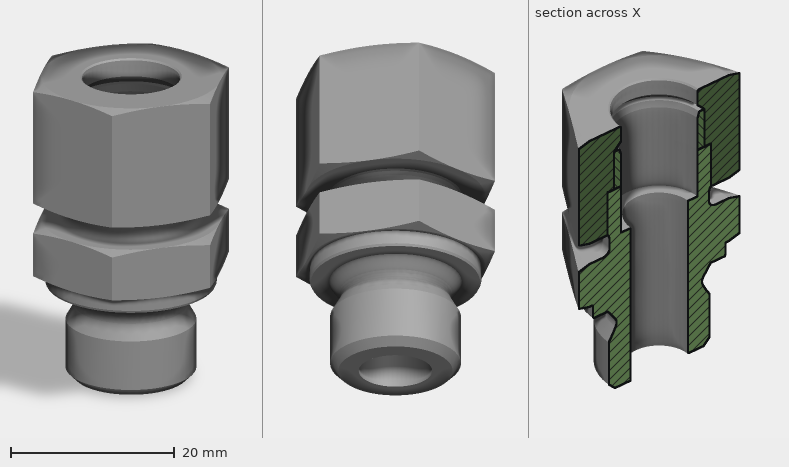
import cadquery as cq
import math

stud_top = 7.35
collar_bottom = 12.0
hex_bottom = 14.0
hex_top = 20.5
nut_bottom = 23.5
body_top = 30.0
ring_top = 35.65
cone_top = 36.7
nut_top = 39.0
tube_stop = 23.0

across_flats = 22.0
hex_corner_angle = 15.0
hex_half_angle = 30.0

stud_diameter = 16.0
stud_chamfer = 1.0
collar_diameter = 21.0
collar_chamfer_height = 0.3
collar_chamfer_width = 0.15
neck_diameter = 15.7
neck_fillet = 1.0
thread_diameter = 16.38
runout_diameter = 16.0
runout_bottom = 22.8
runout_top = 23.3

groove_lower_angle = 30.0
groove_upper_angle = 36.5
groove_mouth_diameter = 16.25
groove_fillet = 1.1

flow_diameter = 9.0
tube_diameter = 12.0
mouth_chamfer = 0.2

ring_diameter = 14.3
ring_chamfer_width = 0.25
ring_chamfer_height = 0.9
cone_bottom = cone_top - (ring_diameter - tube_diameter) / 2


def revolve_profile(points):
    """Revolve a closed (radius, height) outline about Z."""
    return cq.Workplane("XZ").polyline(points).close().revolve(360, (0, 0), (0, 1))


def cylinder(diameter, bottom, top):
    return cq.Workplane("XY").workplane(offset=bottom).circle(diameter / 2).extrude(top - bottom)


def chamfered_hexagon(bottom, top):
    """Hexagon with flats facing +X and -X and its corners turned down to the inscribed circle."""
    flat_radius = across_flats / 2
    corner_radius = flat_radius / math.cos(math.radians(hex_half_angle))
    corner_drop = (corner_radius - flat_radius) * math.tan(math.radians(hex_corner_angle))
    prism = (
        cq.Workplane("XY")
        .workplane(offset=bottom)
        .polygon(6, 2 * corner_radius)
        .extrude(top - bottom)
        .rotate((0, 0, 0), (0, 0, 1), hex_half_angle)
    )
    turned_blank = revolve_profile([
        (0, bottom),
        (flat_radius, bottom),
        (corner_radius, bottom + corner_drop),
        (corner_radius, top - corner_drop),
        (flat_radius, top),
        (0, top),
    ])
    return prism.intersect(turned_blank)


def stud_and_collar():
    """Threaded stud, V-groove with a rounded bottom, and sealing collar."""
    stud_radius = stud_diameter / 2
    collar_radius = collar_diameter / 2
    lower_slope = math.tan(math.radians(groove_lower_angle))
    upper_slope = math.tan(math.radians(groove_upper_angle))
    mouth_radius = groove_mouth_diameter / 2
    flank_sum = stud_top * lower_slope + collar_bottom * upper_slope
    root_height = (flank_sum + stud_radius - mouth_radius) / (lower_slope + upper_slope)
    root_radius = stud_radius - (root_height - stud_top) * lower_slope
    turned = revolve_profile([
        (0, 0),
        (stud_radius - stud_chamfer, 0),
        (stud_radius, stud_chamfer),
        (stud_radius, stud_top),
        (root_radius, root_height),
        (mouth_radius, collar_bottom),
        (collar_radius - collar_chamfer_width, collar_bottom),
        (collar_radius, collar_bottom + collar_chamfer_height),
        (collar_radius, hex_bottom),
        (0, hex_bottom),
    ])
    margin = 0.1
    root_edge = cq.selectors.BoxSelector(
        (-stud_radius, -stud_radius, root_height - margin),
        (stud_radius, stud_radius, root_height + margin),
        boundingbox=True,
    )
    return turned.edges(root_edge).fillet(groove_fillet)


def neck_and_thread():
    """Neck flared into the hexagon, widening to the thread that carries the nut."""
    neck_radius = neck_diameter / 2
    thread_radius = thread_diameter / 2
    flare_offset = neck_fillet * (1 - math.sqrt(0.5))
    return (
        cq.Workplane("XZ")
        .moveTo(0, hex_top)
        .lineTo(neck_radius + neck_fillet, hex_top)
        .threePointArc(
            (neck_radius + flare_offset, hex_top + flare_offset),
            (neck_radius, hex_top + neck_fillet),
        )
        .lineTo(neck_radius, runout_bottom)
        .lineTo(runout_diameter / 2, runout_top)
        .lineTo(thread_radius, nut_bottom)
        .lineTo(thread_radius, body_top)
        .lineTo(0, body_top)
        .close()
        .revolve(360, (0, 0), (0, 1))
    )


def make_body():
    body = stud_and_collar().union(chamfered_hexagon(hex_bottom, hex_top)).union(neck_and_thread())
    body = body.cut(cylinder(flow_diameter, 0, body_top))
    return body.cut(cylinder(tube_diameter, tube_stop, body_top))


def make_cutting_ring():
    """Ring between the body end and the nut cone, with a tapered tube entry at its upper end."""
    bore_radius = tube_diameter / 2
    outer_radius = ring_diameter / 2
    return revolve_profile([
        (bore_radius, body_top),
        (outer_radius, body_top),
        (outer_radius, cone_bottom),
        (outer_radius - (ring_top - cone_bottom), ring_top),
        (bore_radius + ring_chamfer_width, ring_top),
        (bore_radius, ring_top - ring_chamfer_height),
    ])


def make_nut():
    """Union nut: threaded bore, pocket and 45-degree cone for the cutting ring, and tube hole."""
    hole_radius = tube_diameter / 2
    bore = revolve_profile([
        (0, nut_bottom),
        (thread_diameter / 2, nut_bottom),
        (thread_diameter / 2, body_top),
        (ring_diameter / 2, body_top),
        (ring_diameter / 2, cone_bottom),
        (hole_radius, cone_top),
        (hole_radius, nut_top - mouth_chamfer),
        (hole_radius + mouth_chamfer, nut_top),
        (0, nut_top),
    ])
    return chamfered_hexagon(nut_bottom, nut_top).cut(bore)


body = make_body()
cutting_ring = make_cutting_ring()
nut = make_nut()

result = cq.Compound.makeCompound([body.val(), cutting_ring.val(), nut.val()])